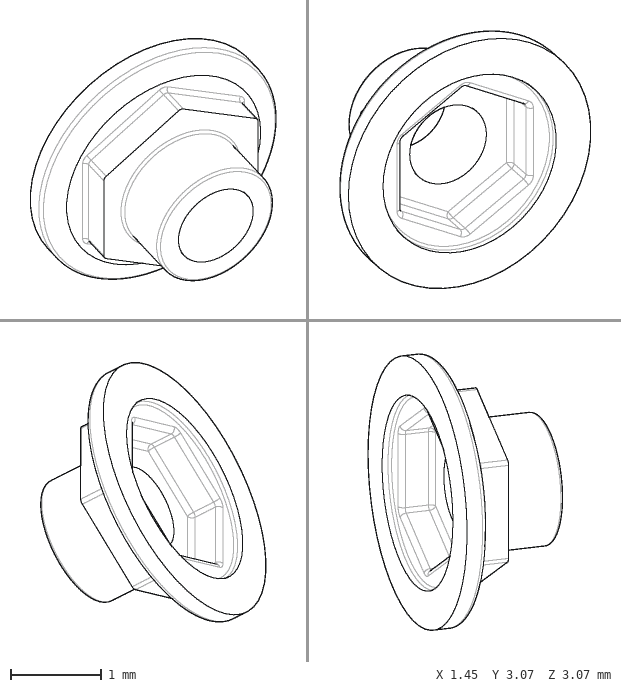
import cadquery as cq
import math

flange_radius = 1.535
flange_thickness = 0.325
cone_small_radius = 1.26
cone_slope = 21.0
rim_fillet = 0.05

hex_flats = 2.002
hex_end = 0.7
hex_corner_radius = 0.06
hex_root_fillet = 0.05

neck_radius = 0.75
part_length = 1.45
neck_end_fillet = 0.03
neck_root_fillet = 0.03
bore_radius = 0.485

recess_radius = 1.095
recess_depth = 0.1
recess_fillet = 0.03
wall = 0.2
pocket_fillet = 0.06
pocket_corner_radius = 0.06
pocket_flats = hex_flats - 2 * wall
pocket_depth = hex_end - wall - recess_depth

plane_tolerance = 0.003
clearance = 0.03


def hex_prism(start, length, flats):
    """Hexagonal prism along X with corners pointing to +Z and -Z."""
    corner_diameter = flats / math.cos(math.pi / 6)
    plane = cq.Workplane("YZ").workplane(offset=start)
    return plane.transformed(rotate=(0, 0, 90)).polygon(6, corner_diameter).extrude(length)


def cylinder(start, length, radius):
    """Round solid along X."""
    return cq.Workplane("YZ").workplane(offset=start).circle(radius).extrude(length)


def edges_within(position, reach):
    """Select the edges in the plane X = position that lie wholly within reach of the axis in Y and Z."""
    lower = (position - plane_tolerance, -reach, -reach)
    upper = (position + plane_tolerance, reach, reach)
    return cq.selectors.BoxSelector(lower, upper, boundingbox=True)


def make_flange():
    cone_depth = (flange_radius - cone_small_radius) * math.tan(math.radians(cone_slope))
    rim_end = flange_thickness - cone_depth
    profile = (
        cq.Workplane("XY")
        .lineTo(0, flange_radius)
        .lineTo(rim_end, flange_radius)
        .lineTo(flange_thickness, cone_small_radius)
        .lineTo(flange_thickness, 0)
        .close()
    )
    flange = profile.revolve(360, (0, 0, 0), (1, 0, 0))
    rim_corner = edges_within(rim_end, flange_radius + clearance)
    return flange.edges(rim_corner).fillet(rim_fillet)


def make_body():
    shoulder = hex_prism(flange_thickness, hex_end - flange_thickness, hex_flats)
    shoulder = shoulder.edges("|X").fillet(hex_corner_radius)
    root_plane = edges_within(flange_thickness, cone_small_radius - clearance)
    body = make_flange().union(shoulder).edges(root_plane).fillet(hex_root_fillet)

    neck = cylinder(hex_end, part_length - hex_end, neck_radius)
    neck = neck.faces(">X").edges().fillet(neck_end_fillet)
    neck_root = edges_within(hex_end, neck_radius + clearance)
    return body.union(neck).edges(neck_root).fillet(neck_root_fillet)


def cut_socket(body):
    recess = cylinder(0, recess_depth, recess_radius)
    recess = recess.faces(">X").edges().fillet(recess_fillet)
    pocket = hex_prism(recess_depth, pocket_depth, pocket_flats)
    pocket = pocket.edges("|X").fillet(pocket_corner_radius)
    pocket = pocket.faces(">X").edges().fillet(pocket_fillet)
    socket = recess.union(pocket)
    mouth = edges_within(recess_depth, recess_radius - clearance)
    socket = socket.edges(mouth).fillet(pocket_fillet)
    return body.cut(socket)


bore = cylinder(0, part_length, bore_radius)
result = cut_socket(make_body()).cut(bore)